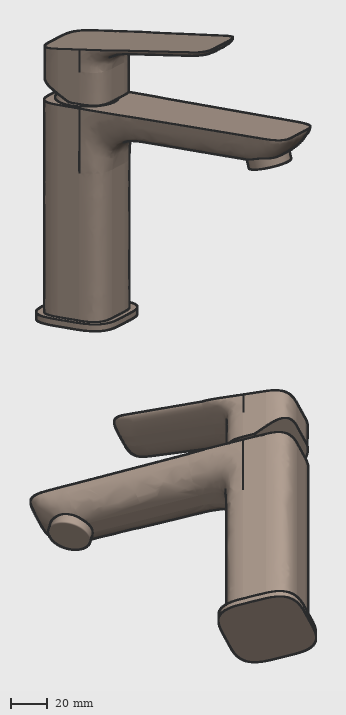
import cadquery as cq
import math

total_height = 169.1
total_length = 158.03
flat_half = 6.7
corner_pull = 0.72
arm_flat_half = 4.0
arm_pull = 0.55
elbow_pull = 0.74
corner_power = 2.6
reach_power = 5
tip_depth = 0.6
elbow_steps = 4
nose_steps = 7
overhang = 30
big = 400

base_size = 48.08
base_height = 4.0

column_half = 20.0
body_top = 125.6
spout_elbow_size = 18.7
spout_depth = 18.0
spout_tip = total_length - base_size / 2
spout_nose_length = 25.0
spout_root_half = 19.5
spout_end_half = 18.0
spout_tip_flat_half = 9.0
spout_corner_length = 12.0
spout_nose_power = 1.7

aerator_radius = 12.0
aerator_tilt = 15.0
aerator_x = 115.6
aerator_z = 105.2
aerator_height = 10.0
aerator_round = 0.8

ball_radius = 18.3
ball_center_z = 120.1
ball_embed = 1.0

handle_half = 19.7
handle_bottom = 128.0
handle_back_bottom = 138.7
handle_tilt = 7.1
handle_elbow_z = 146.6
handle_pivot_x = 33.0
lever_thickness = 4.6
lever_tip = 85.2
lever_nose_length = 12.5
lever_root_half = 19.0
lever_end_half = 17.5
lever_tip_flat_half = 8.5
lever_corner_length = 9.0
lever_nose_power = 2.0


def rounded_square(half, bottom, height):
    """Prism with flat sides and soft corners."""
    pull = flat_half + corner_pull * (half - flat_half)
    start = (half, -flat_half)
    outline = cq.Workplane("XY", origin=(0, 0, bottom)).moveTo(*start)
    for sx, sy in [(1, 1), (-1, 1), (-1, -1), (1, -1)]:
        curve = [
            (sx * half, sy * flat_half),
            (sx * half, sy * pull),
            (sx * pull, sy * half),
            (sx * flat_half, sy * half),
        ]
        if sx * sy < 0:
            curve.reverse()
        outline = outline.lineTo(*curve[0])
        outline = outline.bezier(curve[1:], includeCurrent=True)
    return outline.close().extrude(height)


def block(x0, x1, z0, z1, half):
    """Box centred across the width."""
    return cq.Workplane("XY").box(x1 - x0, 2 * half, z1 - z0, centered=False).translate((x0, -half, z0))


def side_prism(points):
    """Prism across the whole width, from an outline in X and Z."""
    return cq.Workplane("XZ").polyline(points).close().extrude(big / 2, both=True)


def superellipse(fraction, power):
    return (1 - fraction ** power) ** (1 / power)


def bezier_point(points, t):
    weights = [(1 - t) ** 3, 3 * t * (1 - t) ** 2, 3 * t * t * (1 - t), t ** 3]
    return [sum(w * p[axis] for w, p in zip(weights, points)) for axis in (0, 1)]


def loft(sections, ruled=False):
    return cq.Workplane(cq.Solid.makeLoft(sections, ruled))


def trough(origin, direction, inner, reach, half, flat, pull):
    """U-shaped section: flat at `inner`, sides upright from `reach` outwards."""
    def point(distance, y):
        return cq.Vector(origin[0] + direction[0] * distance, y, origin[1] + direction[1] * distance)

    outer = reach + overhang
    inner_pull = reach - pull * (reach - inner)
    flat_pull = flat + pull * (half - flat)
    curves = [
        [
            point(reach, side * half),
            point(inner_pull, side * half),
            point(inner, side * flat_pull),
            point(inner, side * flat),
        ]
        for side in (-1, 1)
    ]
    edges = [
        cq.Edge.makeLine(point(outer, -half), point(reach, -half)),
        cq.Edge.makeBezier(curves[0]),
        cq.Edge.makeLine(point(inner, -flat), point(inner, flat)),
        cq.Edge.makeBezier(curves[1][::-1]),
        cq.Edge.makeLine(point(reach, half), point(outer, half)),
        cq.Edge.makeLine(point(outer, half), point(outer, -half)),
    ]
    return cq.Wire.assembleEdges(edges)


def arm(pivot, front_half, tilt, top, depth, length, root_half, end_half,
        nose_length, nose_power, tip_flat_half, corner_length):
    """Elbow, straight arm and rounded nose; still open above the top face."""
    along = (math.cos(tilt), math.sin(tilt))
    up = (-along[1], along[0])
    side_size = pivot[0] - front_half
    under_size = top - depth
    bend = math.tan((math.pi / 2 - tilt) / 2) * elbow_pull
    side_pull = under_size * bend
    under_pull = side_size * bend
    under = (pivot[0] + up[0] * under_size, pivot[1] + up[1] * under_size)
    curve = [
        (front_half, pivot[1]),
        (front_half, pivot[1] + side_pull),
        (under[0] - along[0] * under_pull, under[1] - along[1] * under_pull),
        under,
    ]

    elbow = []
    for step in range(elbow_steps + 1):
        share = step / elbow_steps
        x, z = bezier_point(curve, share)
        inner = math.hypot(x - pivot[0], z - pivot[1])
        direction = ((x - pivot[0]) / inner, (z - pivot[1]) / inner)
        to_flat = -direction[0] / (pivot[0] - flat_half)
        to_top = (direction[0] * up[0] + direction[1] * up[1]) / top
        if step == 0:
            reach = 1 / to_flat
        elif step == elbow_steps:
            reach = 1 / to_top
        else:
            reach = (to_flat ** reach_power + to_top ** reach_power) ** (-1 / reach_power)
        half = root_half if step == elbow_steps else front_half
        flat = flat_half + (arm_flat_half - flat_half) * share
        pull = corner_pull + (arm_pull - corner_pull) * share
        elbow.append(trough(pivot, direction, inner, reach, half, flat, pull))

    def arm_section(distance):
        nose_share = max(0, (distance - length + nose_length) / nose_length)
        corner_share = max(0, (distance - length + corner_length) / corner_length)
        side = root_half + (end_half - root_half) * distance / length
        half = tip_flat_half + (side - tip_flat_half) * superellipse(corner_share, corner_power)
        thickness = tip_depth + (depth - tip_depth) * superellipse(nose_share, nose_power)
        origin = (pivot[0] + along[0] * distance, pivot[1] + along[1] * distance)
        return trough(origin, up, top - thickness, top, half, arm_flat_half, arm_pull)

    nose_start = length - nose_length
    straight = [arm_section(0), arm_section(nose_start)]
    nose = []
    for step in range(nose_steps + 1):
        fraction = math.sin(math.pi / 2 * step / nose_steps)
        nose.append(arm_section(nose_start + nose_length * fraction))
    return loft(elbow).union(loft(straight, True)).union(loft(nose))


def with_column(half, bottom, elbow_z, top, arm_solid):
    """Column whose upper front part is replaced by an arm."""
    front_space = block(flat_half, big, elbow_z, top, big)
    column = rounded_square(half, bottom, top - bottom).cut(front_space)
    return column.union(arm_solid.intersect(front_space))


def make_handle():
    tilt = math.radians(handle_tilt)
    slope = math.tan(tilt)
    pivot = (handle_pivot_x, handle_elbow_z)
    tip_run = lever_tip - pivot[0]
    tip_rise = total_height - pivot[1]
    lever = arm(
        pivot=pivot,
        front_half=handle_half,
        tilt=tilt,
        top=tip_rise * math.cos(tilt) - tip_run * math.sin(tilt),
        depth=lever_thickness,
        length=tip_run * math.cos(tilt) + tip_rise * math.sin(tilt),
        root_half=lever_root_half,
        end_half=lever_end_half,
        nose_length=lever_nose_length,
        nose_power=lever_nose_power,
        tip_flat_half=lever_tip_flat_half,
        corner_length=lever_corner_length,
    )
    blank = with_column(handle_half, handle_bottom, handle_elbow_z, total_height + overhang, lever)
    above_top = side_prism([
        (-handle_half - big, total_height - (lever_tip + handle_half + big) * slope),
        (lever_tip + big, total_height + big * slope),
        (lever_tip + big, total_height + big),
        (-handle_half - big, total_height + big),
    ])
    below_back = side_prism([
        (0, handle_bottom),
        (-2 * handle_half, 2 * handle_back_bottom - handle_bottom),
        (-2 * handle_half, handle_bottom),
    ])
    return blank.cut(above_top).cut(below_back)


def make_spout_column():
    pivot = (column_half + spout_elbow_size, body_top - spout_depth - spout_elbow_size)
    spout = arm(
        pivot=pivot,
        front_half=column_half,
        tilt=0,
        top=body_top - pivot[1],
        depth=spout_depth,
        length=spout_tip - pivot[0],
        root_half=spout_root_half,
        end_half=spout_end_half,
        nose_length=spout_nose_length,
        nose_power=spout_nose_power,
        tip_flat_half=spout_tip_flat_half,
        corner_length=spout_corner_length,
    )
    return with_column(column_half, base_height, pivot[1], body_top, spout)


def make_aerator():
    upright = cq.Workplane("XY").circle(aerator_radius).extrude(aerator_height)
    upright = upright.faces("<Z").edges().fillet(aerator_round)
    tilted = upright.rotate((0, 0, 0), (0, 1, 0), -aerator_tilt)
    return tilted.translate((aerator_x, 0, aerator_z))


def make_ball():
    """Upper part of the ball that carries the handle."""
    ball = cq.Workplane("XY").sphere(ball_radius).translate((0, 0, ball_center_z))
    return ball.intersect(block(-big, big, body_top - ball_embed, big, big))


def make_body():
    base = rounded_square(base_size / 2, 0, base_height)
    return make_spout_column().union(base).union(make_aerator()).union(make_ball())


handle = make_handle()
body = make_body().cut(handle)
result = cq.Compound.makeCompound([*body.solids().vals(), *handle.solids().vals()])